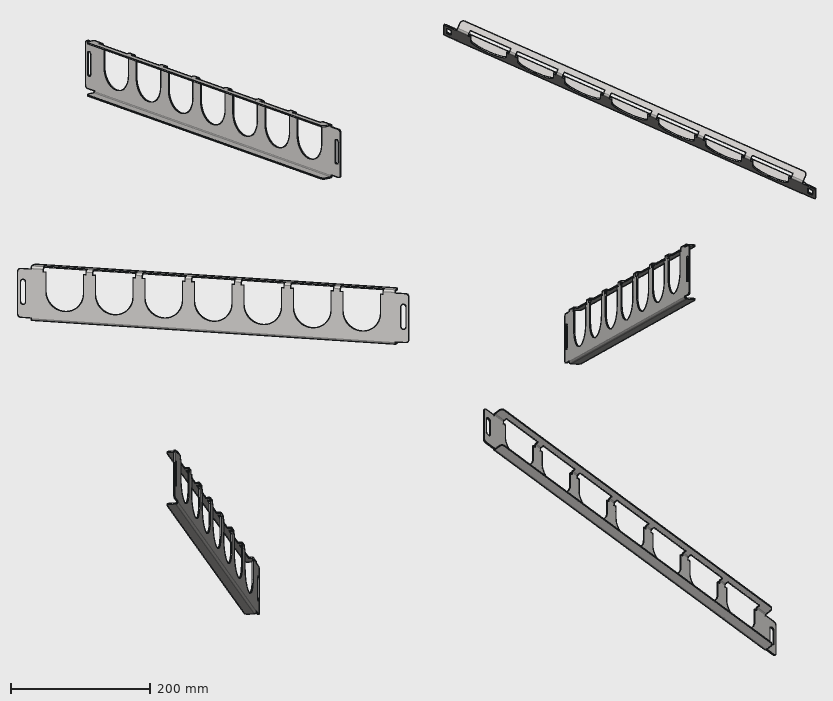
import cadquery as cq

length = 585.0
depth = 17.0
height = 80.0
sheet = 2.0
bend_radius = 1.0
flange_length = 544.0
flange_corner = 5.0
end_height = 72.0
end_corner = 4.5

window_count = 7
window_span = 444.0
window_width = 56.0
window_floor = 17.0
relief_width = 64.0
relief_drop = 7.0
relief_depth = 7.5

slot_width = 7.5
slot_length = 37.0
slot_edge_distance = 8.0
slot_rise = 2.0

half_height = height / 2
window_radius = window_width / 2
window_pitch = window_span / (window_count - 1)


def make_channel():
    """Bent channel: web plus top and bottom flange."""
    outer = (
        cq.Workplane("XY")
        .box(flange_length, depth, height)
        .translate((0, -depth / 2, 0))
        .edges("|X and >Y")
        .fillet(bend_radius + sheet)
        .edges("|Z and <Y")
        .fillet(flange_corner)
    )
    inner = (
        cq.Workplane("XY")
        .box(flange_length, depth, height - 2 * sheet)
        .translate((0, -depth / 2 - sheet, 0))
        .edges("|X and >Y")
        .fillet(bend_radius)
    )
    return outer.cut(inner)


def make_end_plate(side):
    """Flat web extension on one end; side is -1 or 1."""
    overlap = bend_radius + sheet
    reach = (length - flange_length) / 2 + overlap
    return (
        cq.Workplane("XY")
        .box(reach, sheet, end_height)
        .translate((side * (length - reach) / 2, -sheet / 2, 0))
        .edges(">X and |Y" if side > 0 else "<X and |Y")
        .fillet(end_corner)
    )


def make_window(x):
    """Round-bottomed opening with a wider relief through the top bend."""
    arc_centre = -half_height + window_floor + window_radius
    relief_bottom = half_height - relief_drop
    opening = (
        cq.Workplane("XZ")
        .moveTo(x - window_radius, relief_bottom)
        .lineTo(x - window_radius, arc_centre)
        .threePointArc((x, arc_centre - window_radius), (x + window_radius, arc_centre))
        .lineTo(x + window_radius, relief_bottom)
        .close()
        .extrude(relief_depth)
    )
    relief = (
        cq.Workplane("XY")
        .box(relief_width, relief_depth, relief_drop)
        .translate((x, -relief_depth / 2, half_height - relief_drop / 2))
    )
    return opening.union(relief)


def make_slot(side):
    """Vertical mounting slot through one plate end."""
    x = side * (length / 2 - slot_edge_distance)
    return (
        cq.Workplane("XZ")
        .center(x, slot_rise)
        .slot2D(slot_length, slot_width, 90)
        .extrude(sheet)
    )


result = make_channel()
for side in (-1, 1):
    result = result.union(make_end_plate(side)).cut(make_slot(side))

for index in range(window_count):
    result = result.cut(make_window(index * window_pitch - window_span / 2))